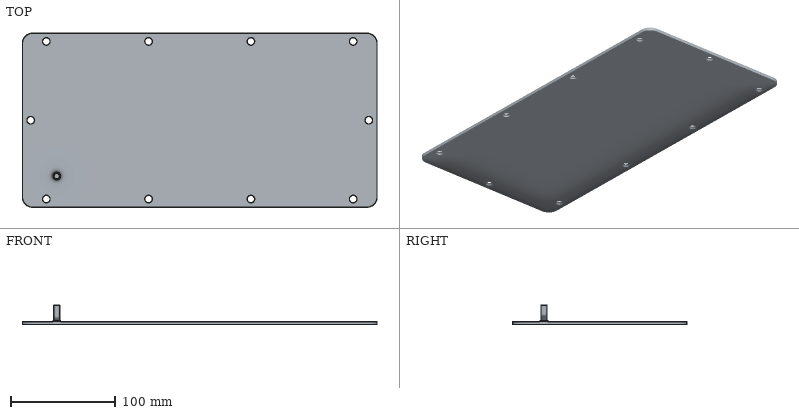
import cadquery as cq

PLATE_LENGTH = 340.0
PLATE_WIDTH = 167.0
PLATE_THICKNESS = 3.0
CORNER_RADIUS = 10.0

HOLE_DIAMETER = 7.0
EDGE_DISTANCE = 8.0
HOLE_PITCH = 98.0
HOLES_PER_LONG_SIDE = 4

STUD_X = -137.0
STUD_Y = -53.5
STUD_DIAMETER = 6.0
STUD_LENGTH = 16.0
STUD_TIP_CHAMFER = 0.5
FLANGE_DIAMETER = 7.5
FLANGE_THICKNESS = 1.0


def hole_centers():
    """Rows of holes along both long sides and one hole midway along each short side."""
    row_y = PLATE_WIDTH / 2 - EDGE_DISTANCE
    end_x = PLATE_LENGTH / 2 - EDGE_DISTANCE
    first_x = -HOLE_PITCH * (HOLES_PER_LONG_SIDE - 1) / 2
    centers = [(-end_x, 0), (end_x, 0)]
    for i in range(HOLES_PER_LONG_SIDE):
        x = first_x + i * HOLE_PITCH
        centers += [(x, -row_y), (x, row_y)]
    return centers


def make_plate():
    """Flat rounded plate with its underside at Z = 0, drilled through."""
    plate = cq.Workplane("XY").box(
        PLATE_LENGTH, PLATE_WIDTH, PLATE_THICKNESS, centered=(True, True, False)
    )
    plate = plate.edges("|Z").fillet(CORNER_RADIUS)
    return plate.faces(">Z").workplane().pushPoints(hole_centers()).hole(HOLE_DIAMETER)


def make_stud():
    """Chamfered stud with a thin foot flange, standing on the top of the plate."""
    base = cq.Workplane("XY", origin=(STUD_X, STUD_Y, PLATE_THICKNESS))
    shank = base.circle(STUD_DIAMETER / 2).extrude(STUD_LENGTH)
    shank = shank.faces(">Z").chamfer(STUD_TIP_CHAMFER)
    flange = base.circle(FLANGE_DIAMETER / 2).extrude(FLANGE_THICKNESS)
    return shank.union(flange)


result = make_plate().union(make_stud())